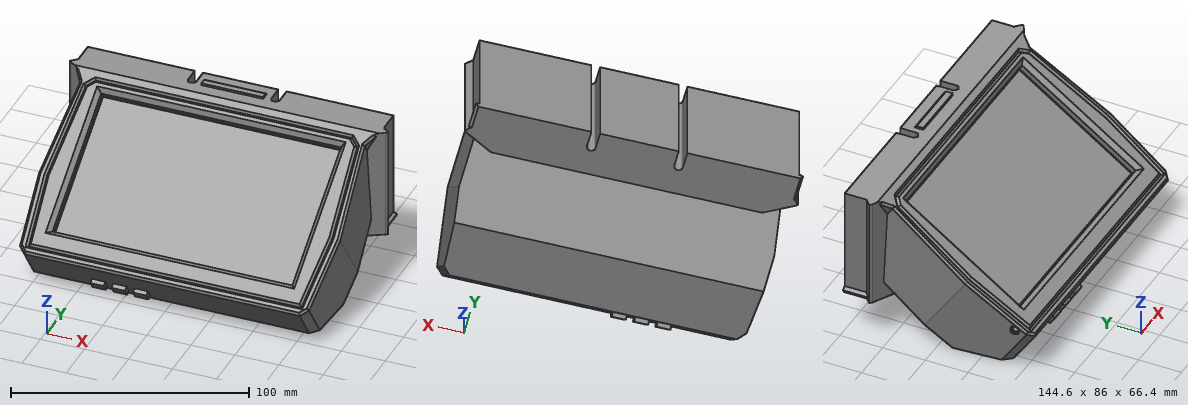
import cadquery as cq
import math

TILT = 35.0
TOTAL_DEPTH = 86.0
BLOCK_TOP = 65.5
BLOCK_BOTTOM = 14.8
TOP_DEPTH = 15.2
BEVEL_ANGLE = 45.0
EDGE_CHAMFER = 1.0

BLOCK_HALF_WIDTH = 69.5
FLARE_START = 10.3
FLANGE_HALF_WIDTH = 72.3
FLANGE_DEPTH = 13.0
FLANGE_BEVEL = 0.9
NECK_SLOPE = 0.55
NECK_DEPTH = 20.8

SLOT_WIDTH = 3.8
SLOT_LENGTH = 9.3
SLOT_SPACING = 37.9

LATCH_WIDTH = 27.9
LATCH_BACK = 5.2
LATCH_FRONT = 9.3
LATCH_HEIGHT = 0.94

LIP_REACH = 1.6
LIP_UNDERCUT = 1.2
LIP_PEAK = 1.7
LIP_HEIGHT = 2.9

HOUSING_THICKNESS = 34.0
WAIST_POSITION = 50.3
WAIST_HALF_WIDTH = 68.4
GUSSET_POSITION = 6.7
GUSSET_HALF_WIDTH = 64.7
GUSSET_SPREAD = 0.65
OUTLINE_START = -0.5
FOOT_HALF_WIDTH = 65.7
FOOT_CORNER = 3.2

RIM_WIDTH = 3.8
BEZEL_TOP = 4.3
BEZEL_SHOULDER_HALF_WIDTH = 61.6
BEZEL_CORNER = 3.5
WINDOW_TOP = 7.1
WINDOW_BOTTOM = 76.1
WINDOW_WIDTH = 113.0
WINDOW_BEVEL = 2.0
WINDOW_WALL = 2.5
BEZEL_THICKNESS = WINDOW_BEVEL + WINDOW_WALL
SCREEN_THICKNESS = 2.9
SCREEN_MARGIN = 0.5

BUTTON_COUNT = 3
BUTTON_WIDTH = 6.1
BUTTON_HEIGHT = 4.0
BUTTON_REACH = 2.0
BUTTON_PITCH = 9.7
BUTTON_CENTRE_X = -21.8
BUTTON_DROP = 14.2

SOCKET_POSITION = 79.0
SOCKET_DROP = 3.3
SOCKET_DIAMETER = 4.0
SOCKET_DEPTH = 1.0
BORE_DIAMETER = 2.5
BORE_DEPTH = 2.9

SIN = math.sin(math.radians(TILT))
COS = math.cos(math.radians(TILT))
FOOT_POSITION = (TOTAL_DEPTH - TOP_DEPTH + EDGE_CHAMFER * SIN) / COS


def slope_plane(height=0.0):
    """Plane parallel to the screen face: local X is the part's X, local Y runs up the slope."""
    normal = cq.Vector(0, -SIN, COS)
    origin = cq.Vector(0, -TOP_DEPTH, BLOCK_TOP) + normal * height
    return cq.Plane(origin=origin, xDir=(1, 0, 0), normal=normal)


def mirrored(right_side):
    """Close an outline given by its right-hand points, each (half width, distance down the slope)."""
    right = [(x, -s) for x, s in right_side]
    left = [(-x, y) for x, y in reversed(right)]
    return right + left


def prism(outline, top, thickness, taper=0.0):
    """Prism whose base lies below the height `top`; a positive taper narrows it upward."""
    base = cq.Workplane(slope_plane(top - thickness)).polyline(outline).close()
    return base.extrude(thickness, taper=taper)


def housing_outline():
    return mirrored([
        (GUSSET_HALF_WIDTH + GUSSET_SPREAD * (GUSSET_POSITION - OUTLINE_START), OUTLINE_START),
        (GUSSET_HALF_WIDTH, GUSSET_POSITION),
        (WAIST_HALF_WIDTH, WAIST_POSITION),
        (FOOT_HALF_WIDTH, FOOT_POSITION - FOOT_CORNER),
        (FOOT_HALF_WIDTH - FOOT_CORNER, FOOT_POSITION),
    ])


def bezel_outline():
    waist = WAIST_HALF_WIDTH - RIM_WIDTH
    return mirrored([
        (BEZEL_SHOULDER_HALF_WIDTH - BEZEL_CORNER, BEZEL_TOP),
        (BEZEL_SHOULDER_HALF_WIDTH, BEZEL_TOP + BEZEL_CORNER),
        (waist, WAIST_POSITION),
        (FOOT_HALF_WIDTH - RIM_WIDTH, FOOT_POSITION - RIM_WIDTH),
    ])


def window_outline(inset=0.0):
    half = WINDOW_WIDTH / 2 - inset
    return mirrored([(half, WINDOW_TOP + inset), (half, WINDOW_BOTTOM - inset)])


def mounting_block():
    """Block with pointed side flanges and a narrowing neck, cut off along the screen face."""
    bevel_x = FLANGE_HALF_WIDTH - FLANGE_BEVEL
    bevel_y = FLANGE_DEPTH + FLANGE_BEVEL
    neck_x = bevel_x - (NECK_DEPTH - bevel_y) / NECK_SLOPE
    right = [
        (BLOCK_HALF_WIDTH, 0),
        (BLOCK_HALF_WIDTH, -FLARE_START),
        (FLANGE_HALF_WIDTH, -FLANGE_DEPTH),
        (bevel_x, -bevel_y),
        (neck_x, -NECK_DEPTH),
    ]
    left = [(-x, y) for x, y in reversed(right)]
    block = (
        cq.Workplane("XY", origin=(0, 0, BLOCK_BOTTOM))
        .polyline(right + left).close().extrude(BLOCK_TOP - BLOCK_BOTTOM)
    )
    slope_face = cq.Workplane(slope_plane()).rect(2 * FLANGE_HALF_WIDTH, 2 * TOTAL_DEPTH)
    return block.cut(slope_face.extrude(TOTAL_DEPTH))


def side_lips():
    """Snap ridges along the lower edges of the block sides, ending inside the flange."""
    right = [
        (BLOCK_HALF_WIDTH - LIP_REACH, BLOCK_BOTTOM),
        (BLOCK_HALF_WIDTH + LIP_REACH - LIP_UNDERCUT, BLOCK_BOTTOM),
        (BLOCK_HALF_WIDTH + LIP_REACH, BLOCK_BOTTOM + LIP_PEAK),
        (BLOCK_HALF_WIDTH, BLOCK_BOTTOM + LIP_HEIGHT),
        (BLOCK_HALF_WIDTH - LIP_REACH, BLOCK_BOTTOM + LIP_HEIGHT),
    ]
    lip = cq.Workplane("XZ").polyline(right).close().extrude(FLANGE_DEPTH)
    return lip.union(lip.mirror("YZ"))


def latch():
    """Catch on top of the block, with a ramp at its back."""
    profile = [
        (-LATCH_BACK, BLOCK_TOP),
        (-LATCH_BACK - LATCH_HEIGHT, BLOCK_TOP + LATCH_HEIGHT),
        (-LATCH_FRONT, BLOCK_TOP + LATCH_HEIGHT),
        (-LATCH_FRONT, BLOCK_TOP),
    ]
    return cq.Workplane("YZ").polyline(profile).close().extrude(LATCH_WIDTH / 2, both=True)


def back_slots():
    """Two round-ended slots, open at the back and running the full height of the block."""
    return (
        cq.Workplane("XY", origin=(0, 0, BLOCK_BOTTOM))
        .pushPoints([(-SLOT_SPACING / 2, 0), (SLOT_SPACING / 2, 0)])
        .slot2D(2 * SLOT_LENGTH, SLOT_WIDTH, 90)
        .extrude(BLOCK_TOP - BLOCK_BOTTOM)
    )


def tilted_box():
    """Six-sided screen housing with a chamfered rim, trimmed by the block and the underside."""
    walls = prism(housing_outline(), -EDGE_CHAMFER, HOUSING_THICKNESS - EDGE_CHAMFER)
    rim = prism(housing_outline(), 0, EDGE_CHAMFER, BEVEL_ANGLE)
    limits = cq.Workplane("XY").box(
        2 * FLANGE_HALF_WIDTH, TOTAL_DEPTH, BLOCK_TOP, centered=(True, False, False)
    ).translate((0, -TOTAL_DEPTH, 0))
    return walls.union(rim).intersect(limits)


def bezel_pocket():
    """Seat of the bezel; its chamfered mouth and the bezel edge form a V-shaped seam."""
    pocket = prism(bezel_outline(), 0, BEZEL_THICKNESS)
    chamfer = (
        cq.Workplane(slope_plane()).polyline(bezel_outline()).close()
        .offset2D(EDGE_CHAMFER, "intersection").extrude(-EDGE_CHAMFER, taper=BEVEL_ANGLE)
    )
    return pocket.union(chamfer)


def socket():
    """Counterbored hole square to the lower part of the left side wall."""
    narrowing = (WAIST_HALF_WIDTH - FOOT_HALF_WIDTH) / (FOOT_POSITION - FOOT_CORNER - WAIST_POSITION)
    wall_x = WAIST_HALF_WIDTH - narrowing * (SOCKET_POSITION - WAIST_POSITION)
    slope = slope_plane(-SOCKET_DROP)
    centre = slope.toWorldCoords((-wall_x, -SOCKET_POSITION, 0))
    outward = slope.xDir * -1 - slope.yDir * narrowing
    wall = cq.Plane(origin=centre, xDir=slope.zDir, normal=outward)
    counterbore = cq.Workplane(wall).circle(SOCKET_DIAMETER / 2).extrude(-SOCKET_DEPTH)
    bore = cq.Workplane(wall).circle(BORE_DIAMETER / 2).extrude(-SOCKET_DEPTH - BORE_DEPTH)
    return counterbore.union(bore)


def make_screen():
    """Plate set flush into the pocket floor, just inside the bezel window."""
    return prism(window_outline(WINDOW_BEVEL + SCREEN_MARGIN), -BEZEL_THICKNESS, SCREEN_THICKNESS)


def make_bezel():
    """Front frame with a chamfered edge and a bevelled window."""
    body = prism(bezel_outline(), -EDGE_CHAMFER, BEZEL_THICKNESS - EDGE_CHAMFER)
    edge = prism(bezel_outline(), 0, EDGE_CHAMFER, BEVEL_ANGLE)
    opening = prism(window_outline(WINDOW_BEVEL), 0, BEZEL_THICKNESS)
    window_mouth = cq.Workplane(slope_plane()).polyline(window_outline()).close()
    bevel = window_mouth.extrude(-WINDOW_BEVEL, taper=BEVEL_ANGLE)
    return body.union(edge).cut(opening).cut(bevel)


def make_housing():
    """Mounting block and tilted box in one piece, hollowed for the bezel and the screen."""
    body = mounting_block().union(side_lips()).union(tilted_box()).union(latch())
    return body.cut(back_slots()).cut(bezel_pocket()).cut(make_screen()).cut(socket())


def make_button(centre_x):
    """Rectangular key standing on the lower front face."""
    outline = mirrored([(BUTTON_WIDTH / 2, FOOT_POSITION), (BUTTON_WIDTH / 2, FOOT_POSITION + BUTTON_REACH)])
    button = prism(outline, BUTTON_HEIGHT / 2 - BUTTON_DROP, BUTTON_HEIGHT)
    return button.translate((centre_x, 0, 0))


housing = make_housing()
bezel = make_bezel()
screen = make_screen()
middle_index = (BUTTON_COUNT - 1) / 2
buttons = [make_button(BUTTON_CENTRE_X + BUTTON_PITCH * (i - middle_index)) for i in range(BUTTON_COUNT)]

result = cq.Compound.makeCompound(
    [housing.val(), bezel.val(), screen.val(), *[button.val() for button in buttons]]
)